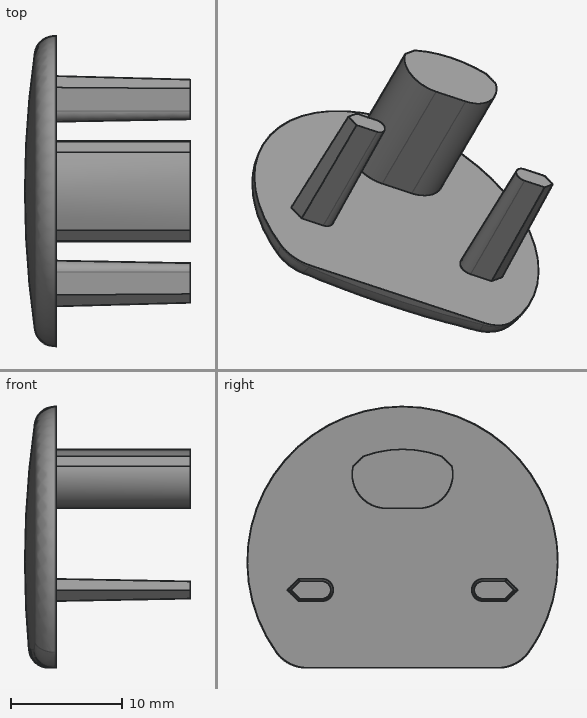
import cadquery as cq
import math

disc_radius = 13.95
flat_drop = 9.55
corner_radius = 3.43
plate_thickness = 2.85
dome_radius = 87.08
rim_radius = 1.85

peg_length = 12.03

crown_radius = 10.1
crown_half_width = 3.52
bar_half_width = 4.52
bar_side_radius = 3.07
bar_shoulder_z = 8.57
bar_bottom = 4.8

side_peg_z = -2.55
side_peg_half_height = 1.0
side_peg_inner_y = 7.23
side_peg_flat_end_y = 9.32
side_peg_ridge_y = 10.35
side_peg_tip_shrink = 0.22


def make_plate():
    """Flat-bottomed disc with rounded corners, a spherical face and a rounded rim."""
    corner_y = math.sqrt(disc_radius**2 - flat_drop**2)
    blank = (
        cq.Workplane("YZ")
        .moveTo(-corner_y, -flat_drop)
        .threePointArc((0, disc_radius), (corner_y, -flat_drop))
        .close()
        .extrude(plate_thickness)
        .edges("|X")
        .fillet(corner_radius)
    )
    dome = cq.Workplane("YZ").sphere(dome_radius).translate((dome_radius, 0, 0))
    return blank.intersect(dome).faces("<X").edges().fillet(rim_radius)


def make_upper_peg():
    """Crowned bar with sloping shoulders and rounded lower sides."""
    crown_edge_z = math.sqrt(crown_radius**2 - crown_half_width**2)
    side_center_y = bar_half_width - bar_side_radius
    side_center_z = bar_bottom + bar_side_radius
    shoulder_rise = bar_shoulder_z - side_center_z
    shoulder_y = side_center_y + math.sqrt(bar_side_radius**2 - shoulder_rise**2)
    return (
        cq.Workplane("YZ", origin=(plate_thickness, 0, 0))
        .moveTo(-crown_half_width, crown_edge_z)
        .threePointArc((0, crown_radius), (crown_half_width, crown_edge_z))
        .lineTo(shoulder_y, bar_shoulder_z)
        .threePointArc((bar_half_width, side_center_z), (side_center_y, bar_bottom))
        .lineTo(-side_center_y, bar_bottom)
        .threePointArc((-bar_half_width, side_center_z), (-shoulder_y, bar_shoulder_z))
        .close()
        .extrude(peg_length)
    )


def make_side_peg():
    """Tapering peg on the +Y side."""
    top_z = side_peg_z + side_peg_half_height
    bottom_z = side_peg_z - side_peg_half_height
    taper_angle = math.degrees(math.atan(side_peg_tip_shrink / peg_length))
    return (
        cq.Workplane("YZ", origin=(plate_thickness, 0, 0))
        .moveTo(side_peg_inner_y, top_z)
        .lineTo(side_peg_flat_end_y, top_z)
        .lineTo(side_peg_ridge_y, side_peg_z)
        .lineTo(side_peg_flat_end_y, bottom_z)
        .lineTo(side_peg_inner_y, bottom_z)
        .threePointArc(
            (side_peg_inner_y - side_peg_half_height, side_peg_z),
            (side_peg_inner_y, top_z),
        )
        .close()
        .extrude(peg_length, taper=taper_angle)
    )


side_peg = make_side_peg()
result = (
    make_plate()
    .union(make_upper_peg())
    .union(side_peg)
    .union(side_peg.mirror("XZ"))
)